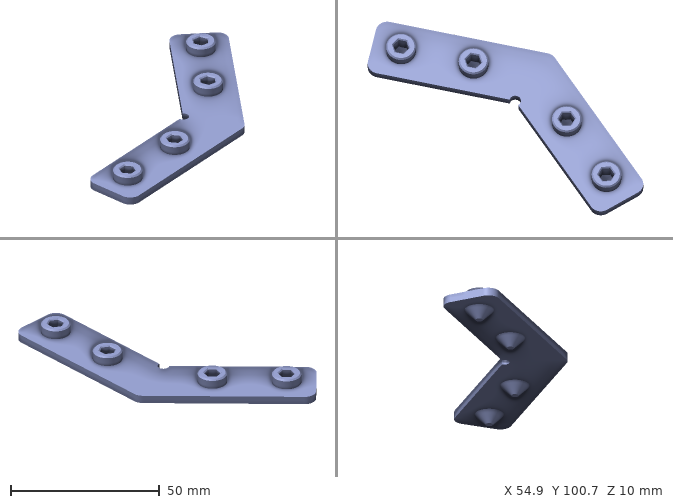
import cadquery as cq
import math

arm_width = 20.0
arm_length = 59.9
bend_angle = 45.0
plate_thickness = 2.8
corner_radius = 3.8
relief_radius = 1.9

screw_diameter = 10.0
screw_length = 10.0
point_length = 3.6
tip_diameter = 2.5
rim_chamfer = 0.5
socket_flats = 4.7
socket_chamfer = 0.4
socket_depth = 5.0
socket_floor_slope = 30.0

end_distance = arm_width / 2
screw_spacing = 25.0
outer_screw = arm_length - end_distance
inner_screw = outer_screw - screw_spacing

straight_heading = -90.0
angled_heading = 90.0 + bend_angle

inner_corner = arm_width * math.tan(math.radians(bend_angle / 2))


def straight_arm_point(along, inward):
    """Point on the straight arm, measured from the outer bend corner."""
    return (-inward, -along)


def angled_arm_point(along, inward):
    """Point on the angled arm, measured from the outer bend corner."""
    heading = math.radians(angled_heading)
    x = along * math.cos(heading) - inward * math.sin(heading)
    y = along * math.sin(heading) + inward * math.cos(heading)
    return (x, y)


screw_places = [
    (straight_arm_point(outer_screw, arm_width / 2), straight_heading),
    (straight_arm_point(inner_screw, arm_width / 2), straight_heading),
    (angled_arm_point(inner_screw, arm_width / 2), angled_heading),
    (angled_arm_point(outer_screw, arm_width / 2), angled_heading),
]


def make_plate():
    """Flat bent plate with its underside at Z = 0, a relief at the inner corner and screw holes."""
    inner_bend = straight_arm_point(inner_corner, arm_width)
    outline = [
        (0, 0),
        straight_arm_point(arm_length, 0),
        straight_arm_point(arm_length, arm_width),
        inner_bend,
        angled_arm_point(arm_length, arm_width),
        angled_arm_point(arm_length, 0),
    ]
    blank = cq.Workplane("XY").polyline(outline).close().extrude(plate_thickness)

    inner_edge = cq.selectors.NearestToPointSelector((*inner_bend, plate_thickness / 2))
    upright_edges = cq.selectors.ParallelDirSelector(cq.Vector(0, 0, 1))
    rounded_edges = cq.selectors.SubtractSelector(upright_edges, inner_edge)
    blank = blank.edges(rounded_edges).fillet(corner_radius)

    relief = cq.Workplane("XY").center(*inner_bend).circle(relief_radius).extrude(plate_thickness)
    hole_centers = [center for center, heading in screw_places]
    holes = cq.Workplane("XY").pushPoints(hole_centers).circle(screw_diameter / 2).extrude(plate_thickness)
    return blank.cut(relief).cut(holes)


def make_socket(top):
    """Hexagon socket cutter with a conical floor and a chamfered mouth, two corners along X."""
    corner_factor = 1 / math.cos(math.radians(30))
    socket_corners = socket_flats * corner_factor
    mouth_corners = (socket_flats + 2 * socket_chamfer) * corner_factor
    floor_radius = socket_corners / 2
    floor_drop = floor_radius * math.tan(math.radians(socket_floor_slope))

    hexagon = (
        cq.Workplane("XY", origin=(0, 0, top))
        .polygon(6, socket_corners)
        .extrude(-(socket_depth + floor_drop))
    )
    drill = (
        cq.Workplane("XZ")
        .moveTo(0, top)
        .lineTo(-floor_radius, top)
        .lineTo(-floor_radius, top - socket_depth)
        .lineTo(0, top - socket_depth - floor_drop)
        .close()
        .revolve(360, (0, 0), (0, 1))
    )
    mouth = (
        cq.Workplane("XY", origin=(0, 0, top))
        .polygon(6, mouth_corners)
        .workplane(offset=-socket_chamfer)
        .polygon(6, socket_corners)
        .loft(ruled=True)
    )
    return hexagon.intersect(drill).union(mouth)


def make_screw(center, heading):
    """Grub screw standing in the plate, its cone point starting at the underside of the plate."""
    radius = screw_diameter / 2
    top = screw_length - point_length
    body = (
        cq.Workplane("XZ")
        .moveTo(0, -point_length)
        .lineTo(tip_diameter / 2, -point_length)
        .lineTo(radius, 0)
        .lineTo(radius, top - rim_chamfer)
        .lineTo(radius - rim_chamfer, top)
        .lineTo(0, top)
        .close()
        .revolve(360, (0, 0), (0, 1))
    )
    screw = body.cut(make_socket(top))
    return screw.rotate((0, 0, 0), (0, 0, 1), heading).translate((*center, 0))


plate = make_plate()
screws = [make_screw(center, heading) for center, heading in screw_places]

result = cq.Compound.makeCompound([plate.val(), *[screw.val() for screw in screws]])